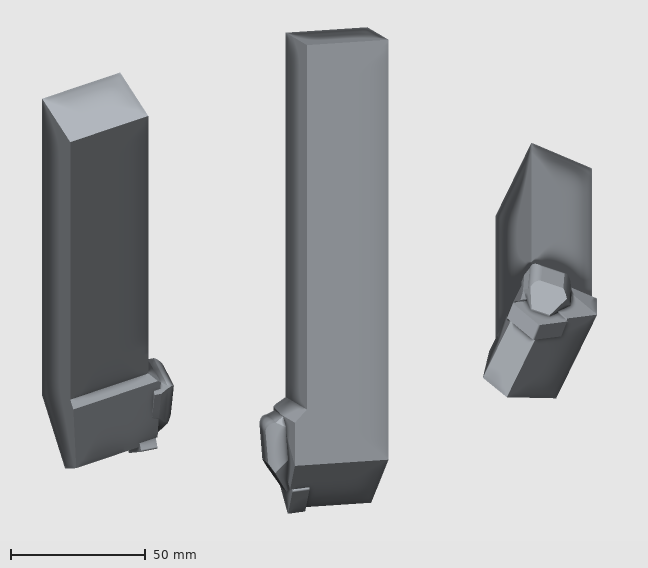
import cadquery as cq

LENGTH = 181.5
SHANK_WIDTH = 24.7
SHANK_DEPTH = 32.0
HEAD_DEPTH = 36.7
SHOULDER_Z = 43.5
SHOULDER_CHAMFER = 2.7
FLANK_BOTTOM_X = 30.0
FLANK_BOTTOM_Z = 11.8
HEEL_Z = 22.5
TIP_X = 20.2

SEAT_SLOPE = 0.085

INSERT_SIDE = 15.6
INSERT_THICKNESS = 6.5
INSERT_CORNER_RADIUS = 0.7
INSERT_TIP_X = 21.6
INSERT_TIP_Y = 32.1
INSERT_TIP_Z = -0.3

CLAMP_REAR = 16.0
CLAMP_NOSE = -13.5
CLAMP_HEIGHT = 6.5
CLAMP_ROOT = -2.7
CLAMP_LEFT = 10.5
CLAMP_RIGHT = 29.2
CLAMP_WALL = 2.9
CLAMP_WALL_LEFT = 12.2
CLAMP_WALL_RIGHT = 28.1
CLAMP_WALL_REAR = 14.5
CLAMP_CROWN_LEFT = 15.6
CLAMP_CROWN_RIGHT = 24.3
CLAMP_CROWN_REAR = 10.5
CLAMP_CROWN_FRONT = -1.5
CLAMP_NARROWING = 0.0
CLAMP_REAR_CORNER = 3.3
CLAMP_NOSE_LEFT = 18.2
CLAMP_NOSE_RIGHT = 25.5

CLEARANCE_CUT = 54.5

seat_normal = cq.Vector(SEAT_SLOPE, 1, -SEAT_SLOPE)
deck = cq.Plane(
    origin=(0, HEAD_DEPTH, HEEL_Z), xDir=(0, SEAT_SLOPE, 1), normal=seat_normal
)
insert_face = cq.Plane(
    origin=(INSERT_TIP_X, INSERT_TIP_Y, INSERT_TIP_Z), xDir=(1, 0, 1), normal=seat_normal
)


def insert_prism(start, height):
    """Square prism on the insert outline, starting above or below its top face."""
    return (
        cq.Workplane(insert_face)
        .workplane(offset=start)
        .rect(INSERT_SIDE, -INSERT_SIDE, centered=False)
        .extrude(height)
    )


def make_insert():
    prism = insert_prism(-INSERT_THICKNESS, INSERT_THICKNESS)
    upright_edges = cq.selectors.ParallelDirSelector(seat_normal)
    return prism.edges(upright_edges).fillet(INSERT_CORNER_RADIUS)


def make_holder_body():
    tip_z = HEEL_Z - TIP_X
    front_outline = (
        cq.Workplane("XZ")
        .polyline([
            (0, LENGTH),
            (0, HEEL_Z),
            (TIP_X, tip_z),
            (FLANK_BOTTOM_X, FLANK_BOTTOM_Z),
            (SHANK_WIDTH + SHOULDER_CHAMFER, SHOULDER_Z - SHOULDER_CHAMFER),
            (SHANK_WIDTH, SHOULDER_Z),
            (SHANK_WIDTH, LENGTH),
        ])
        .close()
        .extrude(-HEAD_DEPTH)
    )
    ramp = HEAD_DEPTH - SHANK_DEPTH
    side_outline = (
        cq.Workplane("YZ")
        .polyline([
            (0, 0),
            (HEAD_DEPTH, 0),
            (HEAD_DEPTH, SHOULDER_Z - ramp),
            (SHANK_DEPTH, SHOULDER_Z),
            (SHANK_DEPTH, LENGTH),
            (0, LENGTH),
        ])
        .close()
        .extrude(CLEARANCE_CUT)
    )
    above_deck = (
        cq.Workplane(deck)
        .rect(2 * SHOULDER_Z, 2 * CLEARANCE_CUT)
        .extrude(CLEARANCE_CUT)
    )
    return front_outline.intersect(side_outline).cut(above_deck)


def make_clamp():
    plan = (
        cq.Workplane(deck)
        .workplane(offset=CLAMP_ROOT)
        .polyline([
            (CLAMP_NOSE, CLAMP_NOSE_LEFT),
            (CLAMP_NARROWING, CLAMP_LEFT),
            (CLAMP_REAR - CLAMP_REAR_CORNER, CLAMP_LEFT),
            (CLAMP_REAR, CLAMP_LEFT + CLAMP_REAR_CORNER),
            (CLAMP_REAR, CLAMP_RIGHT - CLAMP_REAR_CORNER),
            (CLAMP_REAR - CLAMP_REAR_CORNER, CLAMP_RIGHT),
            (CLAMP_NARROWING, CLAMP_RIGHT),
            (CLAMP_NOSE, CLAMP_NOSE_RIGHT),
        ])
        .close()
        .extrude(CLAMP_HEIGHT - CLAMP_ROOT)
    )
    side_plane = cq.Plane(origin=deck.origin, xDir=deck.xDir, normal=-deck.yDir)
    side = (
        cq.Workplane(side_plane)
        .polyline([
            (CLAMP_NOSE, CLAMP_ROOT),
            (CLAMP_NOSE, 0),
            (CLAMP_CROWN_FRONT, CLAMP_HEIGHT),
            (CLAMP_CROWN_REAR, CLAMP_HEIGHT),
        ])
        .tangentArcPoint((CLAMP_WALL_REAR, CLAMP_WALL), relative=False)
        .lineTo(CLAMP_REAR, 0)
        .lineTo(CLAMP_REAR, CLAMP_ROOT)
        .close()
        .extrude(-CLEARANCE_CUT)
    )
    cross_plane = cq.Plane(origin=deck.origin, xDir=deck.yDir, normal=deck.xDir)
    cross = (
        cq.Workplane(cross_plane)
        .polyline([
            (CLAMP_LEFT, CLAMP_ROOT),
            (CLAMP_LEFT, 0),
            (CLAMP_WALL_LEFT, CLAMP_WALL),
        ])
        .tangentArcPoint((CLAMP_CROWN_LEFT, CLAMP_HEIGHT), relative=False)
        .lineTo(CLAMP_CROWN_RIGHT, CLAMP_HEIGHT)
        .tangentArcPoint((CLAMP_WALL_RIGHT, CLAMP_WALL), relative=False)
        .lineTo(CLAMP_RIGHT, 0)
        .lineTo(CLAMP_RIGHT, CLAMP_ROOT)
        .close()
        .extrude(CLEARANCE_CUT, both=True)
    )
    return plan.intersect(side).intersect(cross)


def make_holder(insert):
    pocket = insert_prism(-INSERT_THICKNESS, CLEARANCE_CUT)
    body = make_holder_body().cut(pocket)
    return body.union(make_clamp()).cut(insert)


insert = make_insert()
holder = make_holder(insert)
result = cq.Compound.makeCompound([holder.val(), insert.val()])